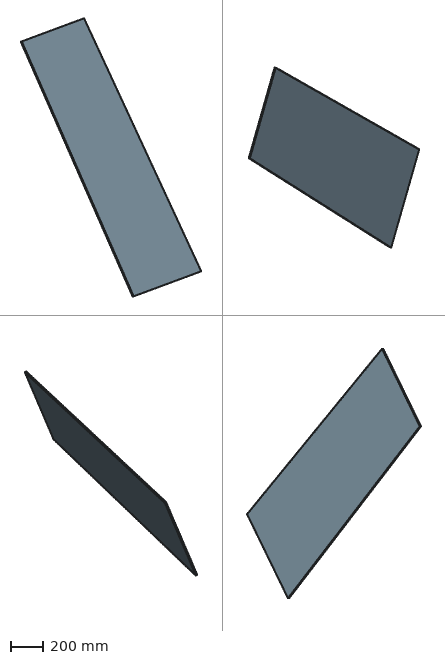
import cadquery as cq
import math

span_x = 913.0
span_z = 1468.0
bottom_width = 645.0
top_width = 595.0

end_run = 9.0

end_rise = (span_z - math.sqrt(span_z**2 - 4 * end_run * (span_x - end_run))) / 2

thickness = math.hypot(end_run, end_rise)
length = math.hypot(span_x - end_run, span_z - end_rise)

panel_plane = cq.Plane(
    origin=(0, 0, span_z - end_rise),
    xDir=(span_x - end_run, 0, end_rise - span_z),
    normal=(end_run, 0, end_rise),
)

outline = [
    (0, 0),
    (length, 0),
    (length, bottom_width),
    (0, top_width),
]

result = cq.Workplane(panel_plane).polyline(outline).close().extrude(thickness)